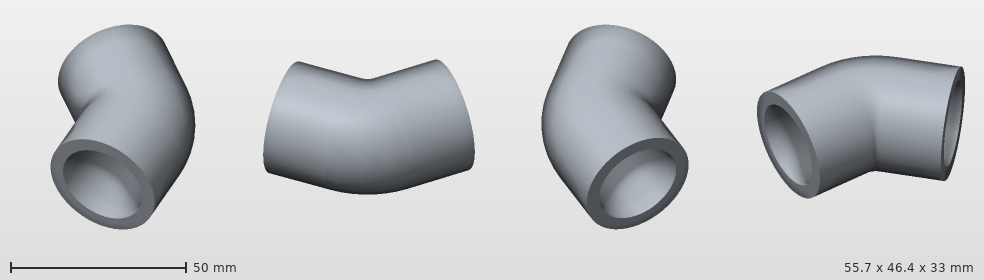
import cadquery as cq
import math

overall_length = 55.75
outer_diameter = 33.0
bore_diameter = 25.0
bend_angle = 45.0

throat_radius = 0.005
bend_radius = throat_radius + outer_diameter / 2

bend_sin = math.sin(math.radians(bend_angle))
bend_cos = math.cos(math.radians(bend_angle))
bend_reach = (throat_radius + outer_diameter) * bend_sin
leg_length = (overall_length - bend_reach) / (1 + bend_cos)


def section(diameter):
    """Circle on the YZ plane, centred on the pipe at the start of the bend."""
    return cq.Workplane("YZ").center(bend_radius, 0).circle(diameter / 2)


def elbow_solid(diameter):
    """Solid round bar following the elbow: straight leg, bend, straight leg."""
    inlet_leg = section(diameter).extrude(-leg_length)

    bend = section(diameter).revolve(bend_angle, (-bend_radius, 0), (-bend_radius, -1))

    outlet_leg = section(diameter).extrude(leg_length).rotate((0, 0, 0), (0, 0, 1), -bend_angle)
    return inlet_leg.union(bend).union(outlet_leg)


result = elbow_solid(outer_diameter).cut(elbow_solid(bore_diameter))